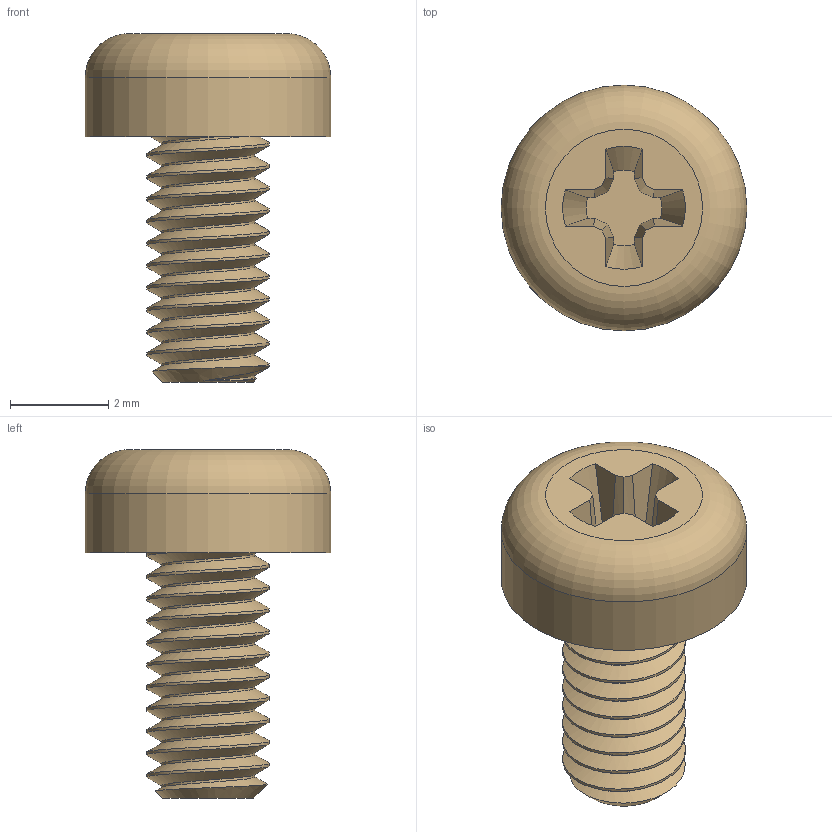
import cadquery as cq
import math

HEAD_DIAMETER = 5.0
HEAD_HEIGHT = 2.1
HEAD_EDGE_RADIUS = 0.9

SHANK_LENGTH = 5.0
THREAD_DIAMETER = 2.5
THREAD_PITCH = 0.45
THREAD_DEPTH = 0.3
THREAD_HALF_ANGLE = 30.0
CREST_WIDTH = THREAD_PITCH / 8
RIDGE_EMBED = 0.02
FIRST_CREST_DROP = 0.15
TIP_RADIUS = 0.92

RECESS_DEPTH = 1.85
RECESS_TOP = {"reach": 1.25, "half_width": 0.37, "wing_root": 0.615, "corner": 0.45}
RECESS_FLOOR = {"reach": 0.77, "half_width": 0.212, "wing_root": 0.6, "corner": 0.33}

TOTAL_HEIGHT = SHANK_LENGTH + HEAD_HEIGHT
HEAD_RADIUS = HEAD_DIAMETER / 2
THREAD_RADIUS = THREAD_DIAMETER / 2
CORE_RADIUS = THREAD_RADIUS - THREAD_DEPTH


def make_head():
    """Pan head with a rounded top edge."""
    blank = cq.Workplane("XY").workplane(offset=SHANK_LENGTH).circle(HEAD_RADIUS).extrude(HEAD_HEIGHT)
    return blank.faces(">Z").edges().fillet(HEAD_EDGE_RADIUS)


def make_thread_ridge():
    """Helical ridge that runs past both ends of the shank and starts slightly inside the core."""
    turns_below = math.ceil(SHANK_LENGTH / THREAD_PITCH)
    start = SHANK_LENGTH - FIRST_CREST_DROP - turns_below * THREAD_PITCH
    height = (turns_below + 1) * THREAD_PITCH

    base_radius = CORE_RADIUS - RIDGE_EMBED
    crest_half = CREST_WIDTH / 2
    flank_rise = (THREAD_RADIUS - base_radius) * math.tan(math.radians(THREAD_HALF_ANGLE))
    base_half = crest_half + flank_rise
    corners = [
        (base_radius, -base_half),
        (THREAD_RADIUS, -crest_half),
        (THREAD_RADIUS, crest_half),
        (base_radius, base_half),
    ]

    helices = []
    for radius, rise in corners:
        base = cq.Vector(0, 0, start + rise)
        helices.append(cq.Wire.makeHelix(THREAD_PITCH, height, radius, base))
    faces = []
    for current, following in zip(helices, helices[1:] + helices[:1]):
        faces += cq.Face.makeRuledSurface(current, following).Faces()
    for end in (0, 1):
        end_points = [helix.positionAt(end) for helix in helices]
        faces.append(cq.Face.makeFromWires(cq.Wire.makePolygon(end_points, close=True)))
    return cq.Workplane(cq.Solid.makeSolid(cq.Shell.makeShell(faces)))


def make_shank():
    """Threaded shank, trimmed flat at both ends, with a 45 degree chamfer at the tip."""
    overrun = 4 * THREAD_PITCH
    core = cq.Workplane("XY").workplane(offset=-overrun).circle(CORE_RADIUS)
    core = core.extrude(SHANK_LENGTH + 2 * overrun)
    envelope = cq.Workplane("XY").circle(HEAD_RADIUS).extrude(SHANK_LENGTH)
    envelope = envelope.faces("<Z").edges().chamfer(HEAD_RADIUS - TIP_RADIUS)
    return core.union(make_thread_ridge()).intersect(envelope)


def recess_outline(z, reach, half_width, wing_root, corner):
    """Closed cross outline at height z: four round-ended wings joined by kinked corners."""
    wing_end = math.sqrt(reach**2 - half_width**2)

    def turned(x, y, quarter):
        angle = math.pi / 2 * quarter
        return cq.Vector(
            x * math.cos(angle) - y * math.sin(angle),
            x * math.sin(angle) + y * math.cos(angle),
            z,
        )

    edges = []
    for quarter in range(4):
        arc_points = [
            turned(wing_end, -half_width, quarter),
            turned(reach, 0, quarter),
            turned(wing_end, half_width, quarter),
        ]
        edges.append(cq.Edge.makeThreePointArc(*arc_points))
        side_points = [
            arc_points[-1],
            turned(wing_root, half_width, quarter),
            turned(corner, corner, quarter),
            turned(half_width, wing_root, quarter),
            turned(half_width, wing_end, quarter),
        ]
        for first, second in zip(side_points, side_points[1:]):
            edges.append(cq.Edge.makeLine(first, second))
    return cq.Wire.assembleEdges(edges)


def make_recess():
    """Tapered cross-shaped drive recess."""
    floor = recess_outline(TOTAL_HEIGHT - RECESS_DEPTH, **RECESS_FLOOR)
    top = recess_outline(TOTAL_HEIGHT, **RECESS_TOP)
    return cq.Workplane(cq.Solid.makeLoft([floor, top], True))


result = make_head().union(make_shank()).cut(make_recess())